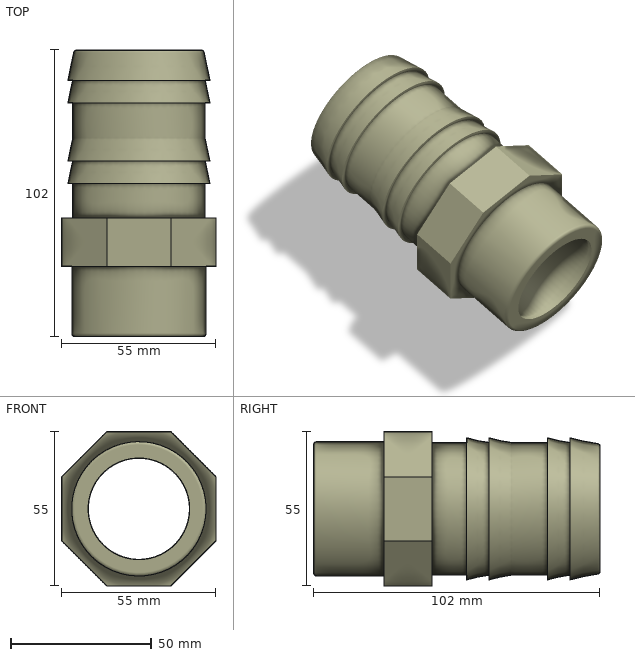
import cadquery as cq

total_length = 102.0
bore_diameter = 36.0

spigot_diameter = 47.8
spigot_length = 25.0
spigot_edge_round = 1.1

collar_sides = 8
collar_across_flats = 55.0
collar_length = 17.2

tail_diameter = 47.2
barb_diameter = 50.6
barb_length = 8.0

lower_pair_start = 54.5
upper_pair_start = 83.2

tip_diameter = 46.1
tip_edge_round = 1.1


def cylinder(diameter, start, length):
    """Solid cylinder on the Y axis, from start towards +Y."""
    return (
        cq.Workplane("XZ", origin=(0, start, 0))
        .circle(diameter / 2)
        .extrude(-length)
    )


def barb(start, length, end_diameter):
    """Cone with its sharp rim at start, narrowing towards +Y."""
    return (
        cq.Workplane("XY")
        .moveTo(0, start)
        .lineTo(barb_diameter / 2, start)
        .lineTo(end_diameter / 2, start + length)
        .lineTo(0, start + length)
        .close()
        .revolve(360, (0, 0, 0), (0, 1, 0))
    )


spigot = cylinder(spigot_diameter, 0, spigot_length).faces("<Y").edges().fillet(spigot_edge_round)

collar = (
    cq.Workplane("XZ", origin=(0, spigot_length, 0))
    .polygon(collar_sides, collar_across_flats, circumscribed=True)
    .extrude(-collar_length)
)

tail_start = spigot_length + collar_length
tip_start = upper_pair_start + barb_length
tail = cylinder(tail_diameter, tail_start, tip_start - tail_start)

barb_starts = (lower_pair_start, lower_pair_start + barb_length, upper_pair_start)
tip = barb(tip_start, total_length - tip_start, tip_diameter).faces(">Y").edges().fillet(tip_edge_round)

body = spigot.union(collar).union(tail).union(tip)
for start in barb_starts:
    body = body.union(barb(start, barb_length, tail_diameter))

result = body.cut(cylinder(bore_diameter, 0, total_length))